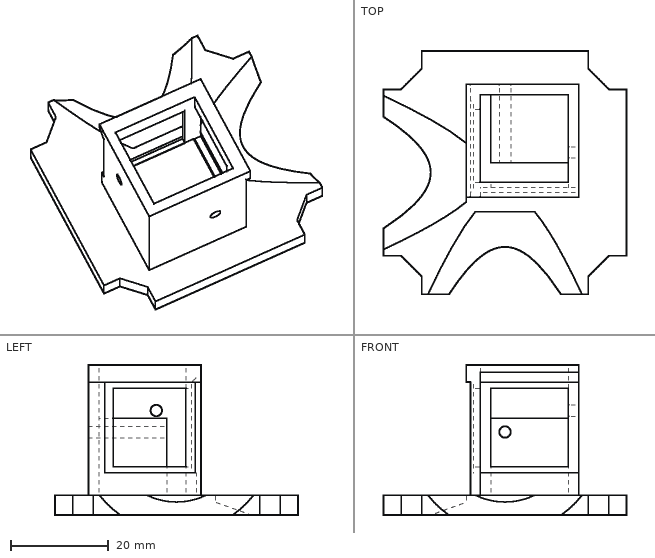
import cadquery as cq

plate_size = 49.8
plate_height = 4.1
half_plate = plate_size / 2
edge_half = 17.05
notch_outer = 21.25

scoop_axis_height = 16.45
scoop_outer_radius = 20.0
scoop_inner_radius = 13.75
scoop_length = 16.95

lip_size = 23.05
tower_right = 15.1
tower_back = 18.05
tower_front = tower_back - lip_size
tower_top = 30.75
lip_left = tower_right - lip_size
lip_overhang = 0.9
lip_bottom = 27.25
tower_left = lip_left + lip_overhang

well_left = -5.1
well_right = 12.95
well_front = -1.95
well_back = 15.9
well_floor = plate_height
block_left = -2.9
block_front = 2.0
block_top = 19.85

panel_bottom = 8.7
window_bottom = 9.95
window_top = 25.95
front_post_right = -5.1
front_skirt_depth = 1.0
front_panel_depth = 2.0
left_panel_front = -3.9
left_panel_back = 14.7
left_panel_depth = 0.6
left_window_back = 12.95

hole_diameter = 2.3
front_hole_x = 0.0
front_hole_z = 17.05
left_hole_y = 4.15
left_hole_z = 21.4


def box_between(low, high):
    """Box spanning two opposite corners."""
    size = [b - a for a, b in zip(low, high)]
    return cq.Workplane("XY").box(*size, centered=False).translate(low)


def make_plate():
    """Square plate with a notch at each corner, ending in a diagonal."""
    corner = [
        (edge_half, half_plate),
        (edge_half, notch_outer),
        (notch_outer, edge_half),
        (half_plate, edge_half),
    ]
    outline = []
    for _ in range(4):
        outline += corner
        corner = [(y, -x) for x, y in corner]
    return cq.Workplane("XY").polyline(outline).close().extrude(plate_height)


def make_scoop(direction):
    """Cone frustum that narrows from the plate edge towards the tower."""
    start = cq.Vector(0, 0, scoop_axis_height) - direction * half_plate
    return cq.Workplane(
        cq.Solid.makeCone(scoop_outer_radius, scoop_inner_radius, scoop_length, start, direction)
    )


def make_tower():
    """Tower with an overhanging lip on the left, hollowed around the inner block."""
    body = box_between((tower_left, tower_front, plate_height), (tower_right, tower_back, tower_top))
    lip = box_between((lip_left, tower_front, lip_bottom), (tower_right, tower_back, tower_top))
    well = box_between((well_left, well_front, well_floor), (well_right, well_back, tower_top))
    block = box_between((block_left, block_front, well_floor), (well_right, well_back, block_top))
    return body.union(lip).cut(well).union(block)


def make_front_recess():
    """Stepped recess beside the front post, with a 45 degree slope up to the lip."""
    skirt_y = tower_front + front_skirt_depth
    panel_y = tower_front + front_panel_depth
    profile = [
        (tower_front, plate_height),
        (skirt_y, plate_height),
        (skirt_y, panel_bottom),
        (panel_y, panel_bottom),
        (panel_y, lip_bottom),
        (tower_front, lip_bottom + front_panel_depth),
    ]
    recess = cq.Workplane("YZ").polyline(profile).close().extrude(tower_right - front_post_right)
    return recess.translate((front_post_right, 0, 0))


def make_left_recess():
    """Shallow rectangular recess reaching up to the lip."""
    return box_between(
        (tower_left, left_panel_front, panel_bottom),
        (tower_left + left_panel_depth, left_panel_back, lip_bottom),
    )


def make_windows():
    """Openings from the front and left panels into the well."""
    front = box_between((block_left, tower_front, window_bottom), (well_right, well_front, window_top))
    left = box_between((tower_left, well_front, window_bottom), (well_left, left_window_back, window_top))
    return front.union(left)


def make_cross_hole(start, direction):
    """Round hole running from the start point through the whole tower."""
    return cq.Workplane(cq.Solid.makeCylinder(hole_diameter / 2, plate_size, cq.Vector(*start), direction))


along_x = cq.Vector(1, 0, 0)
along_y = cq.Vector(0, 1, 0)

plate = make_plate()
for inward in (along_x, along_y):
    plate = plate.cut(make_scoop(inward))

tower = make_tower().cut(make_front_recess()).cut(make_left_recess()).cut(make_windows())
tower = tower.cut(make_cross_hole((front_hole_x, tower_front, front_hole_z), along_y))
tower = tower.cut(make_cross_hole((tower_left, left_hole_y, left_hole_z), along_x))

result = plate.union(tower)